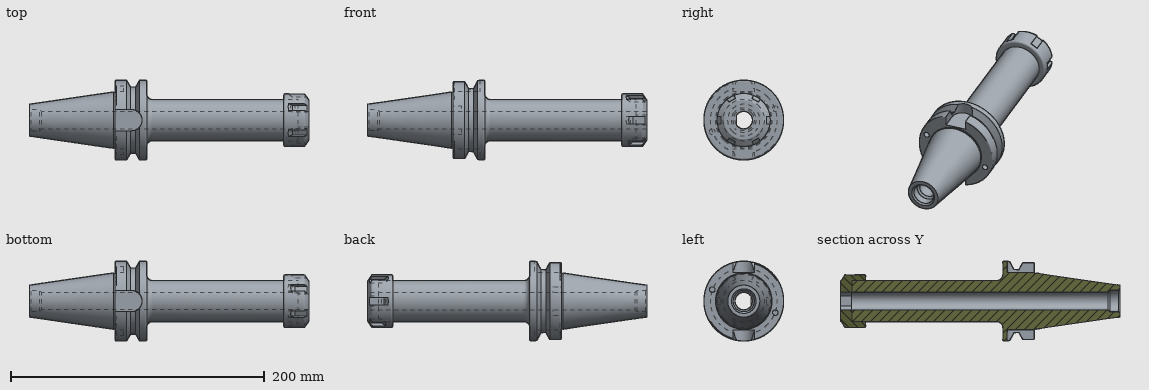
import cadquery as cq
import math


taper_length = 66.2
taper_gauge_radius = 22.3
taper_ratio = 7 / 24
taper_tip_radius = taper_gauge_radius - taper_length * taper_ratio / 2
relief_depth = 0.5

flange_start = 67.7
flange_end = 92.5
flange_radius = 31.5
flange_front_fillet = 0.9
flange_back_fillet = 1.3
groove_floor_start = 79.8
groove_floor_width = 4.0
groove_floor_radius = 26.2
groove_wall_angle = 60

slot_width = 16.8
slot_end = 88.9
slot_floor_height = 22.7

coolant_hole_radius = 2.2
coolant_hole_circle_radius = 26.5
coolant_hole_angle = 20
coolant_hole_depth = 6.6

neck_radius = 16.3
neck_fillet = 4.5
neck_end = 211.7
bore_radius = 6.8
thread_bore_radius = 8.4
thread_bore_depth = 8.0
thread_bore_mouth_radius = 9.7

nut_start = 200.5
nut_end = 220.5
nut_radius = 21.0
nut_back_fillet = 1.5
nut_cone_angle = 57
nut_face_radius = 15.5
nut_shoulder_fillet = 1.5
nut_tip_fillet = 1.0
nut_flat_distance = 5.5

wrench_slot_count = 6
wrench_slot_width = 6.0
wrench_slot_floor_radius = 18.0
short_wrench_slot_start = 206.0
long_wrench_slot_start = 204.0
wrench_slot_ramp_length = 3.3

tool_overrun = 1.0
edge_search_margin = 0.2


def turned(points):
    """Solid of revolution about X from a list of (x, radius) points."""
    return cq.Workplane("XY").polyline(points).close().revolve(360, (0, 0, 0), (1, 0, 0))


def rod(start, end, radius):
    """Round bar along the X axis."""
    return cq.Workplane("YZ").workplane(offset=start).circle(radius).extrude(end - start)


def ring_at(x, radius):
    """Selector for the round edge of the given radius at position x."""
    inner = radius - edge_search_margin
    outer = radius + edge_search_margin
    back = x - edge_search_margin
    front = x + edge_search_margin
    tall = cq.selectors.BoxSelector((back, -outer, -outer), (front, outer, outer), boundingbox=True)
    smaller = cq.selectors.BoxSelector((back, -inner, -inner), (front, inner, inner), boundingbox=True)
    return tall - smaller


def holder_blank():
    groove_wall_run = (flange_radius - groove_floor_radius) / math.tan(math.radians(groove_wall_angle))
    groove_floor_end = groove_floor_start + groove_floor_width
    relief_radius = taper_gauge_radius - relief_depth
    outline = [
        (0, 0),
        (0, taper_tip_radius),
        (taper_length, taper_gauge_radius),
        (taper_length, relief_radius),
        (flange_start, relief_radius),
        (flange_start, flange_radius),
        (groove_floor_start - groove_wall_run, flange_radius),
        (groove_floor_start, groove_floor_radius),
        (groove_floor_end, groove_floor_radius),
        (groove_floor_end + groove_wall_run, flange_radius),
        (flange_end, flange_radius),
    ]
    profile = (
        cq.Workplane("XY")
        .polyline(outline)
        .lineTo(flange_end, neck_radius + neck_fillet)
        .radiusArc((flange_end + neck_fillet, neck_radius), -neck_fillet)
        .lineTo(neck_end, neck_radius)
        .lineTo(neck_end, 0)
        .close()
    )
    blank = profile.revolve(360, (0, 0, 0), (1, 0, 0))
    blank = blank.edges(ring_at(flange_start, flange_radius)).fillet(flange_front_fillet)
    return blank.edges(ring_at(flange_end, flange_radius)).fillet(flange_back_fillet)


def drive_slot(side):
    """Round-ended slot tool above (side = 1) or below (side = -1) the axis."""
    end_centre = slot_end - slot_width / 2
    floor = cq.Workplane("XY").workplane(offset=side * slot_floor_height)
    height = side * (flange_radius - slot_floor_height + tool_overrun)
    straight = (
        floor.center((flange_start + end_centre) / 2, 0)
        .rect(end_centre - flange_start, slot_width)
        .extrude(height)
    )
    return straight.union(floor.center(end_centre, 0).circle(slot_width / 2).extrude(height))


def coolant_hole(angle):
    y = coolant_hole_circle_radius * math.cos(math.radians(angle))
    z = coolant_hole_circle_radius * math.sin(math.radians(angle))
    drill = rod(flange_start, flange_start + coolant_hole_depth, coolant_hole_radius)
    return drill.translate((0, y, z))


def holder_bore():
    mouth_chamfer = thread_bore_mouth_radius - thread_bore_radius
    seat_length = thread_bore_radius - bore_radius
    return turned([
        (0, 0),
        (0, thread_bore_mouth_radius),
        (mouth_chamfer, thread_bore_radius),
        (thread_bore_depth, thread_bore_radius),
        (thread_bore_depth + seat_length, bore_radius),
        (neck_end, bore_radius),
        (neck_end, 0),
    ])


def make_holder():
    body = holder_blank().cut(holder_bore())
    for side in (1, -1):
        body = body.cut(drive_slot(side))
    for angle in (coolant_hole_angle, coolant_hole_angle + 180):
        body = body.cut(coolant_hole(angle))
    return body


def nut_blank():
    cone_length = (nut_radius - nut_face_radius) / math.tan(math.radians(nut_cone_angle))
    shoulder = nut_end - cone_length
    blank = turned([
        (nut_start, 0),
        (nut_start, nut_radius),
        (shoulder, nut_radius),
        (nut_end, nut_face_radius),
        (nut_end, 0),
    ])
    blank = blank.faces("<X").edges().fillet(nut_back_fillet)
    blank = blank.faces(">X").edges().fillet(nut_tip_fillet)
    return blank.edges(ring_at(shoulder, nut_radius)).fillet(nut_shoulder_fillet)


def nut_mouth():
    """Round opening with one flat on its -Y side."""
    opening = rod(neck_end, nut_end, bore_radius)
    keep = cq.Workplane("XY").box(nut_end - neck_end, 2 * bore_radius, 2 * bore_radius, centered=False)
    return opening.intersect(keep.translate((neck_end, -nut_flat_distance, -bore_radius)))


def wrench_slot(start, angle):
    """Slot tool open to the front, with a ramp at its back, turned about X from the -Y side."""
    outside = nut_radius + tool_overrun
    rise = nut_radius - wrench_slot_floor_radius
    ramp_overrun = tool_overrun * wrench_slot_ramp_length / rise
    tool = (
        cq.Workplane("XY")
        .polyline([
            (start - ramp_overrun, -outside),
            (start + wrench_slot_ramp_length, -wrench_slot_floor_radius),
            (nut_end, -wrench_slot_floor_radius),
            (nut_end, -outside),
        ])
        .close()
        .extrude(wrench_slot_width / 2, both=True)
    )
    return tool.rotate((0, 0, 0), (1, 0, 0), angle)


def make_nut():
    body = nut_blank().cut(rod(nut_start, neck_end, neck_radius)).cut(nut_mouth())
    for index in range(wrench_slot_count):
        is_short = index < wrench_slot_count / 2
        start = short_wrench_slot_start if is_short else long_wrench_slot_start
        body = body.cut(wrench_slot(start, index * 360 / wrench_slot_count))
    return body


holder = make_holder()
nut = make_nut()

result = cq.Compound.makeCompound([holder.val(), nut.val()])